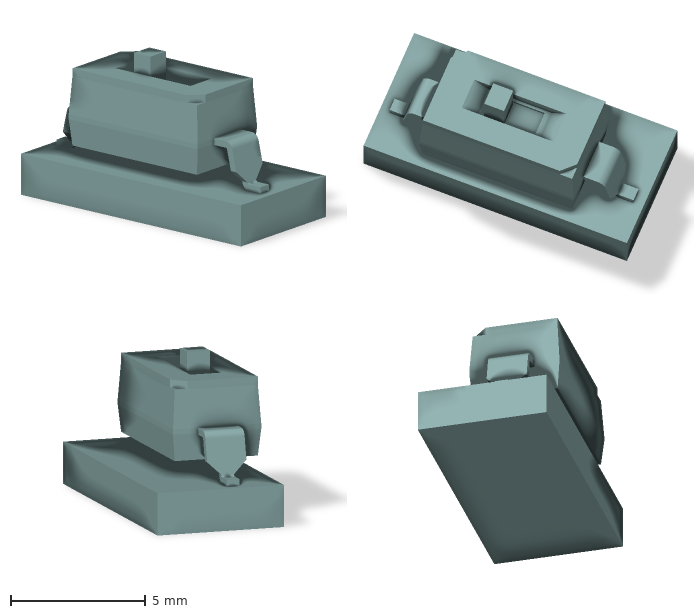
import cadquery as cq
import math


board_length = 10.58
board_width = 4.98
board_thickness = 1.6
board_offset_y = 0.63

seam_length = 6.2
seam_width = 3.48
cap_length = 6.0
cap_width = 3.28
cap_corner_chamfer = 0.5
standoff = 0.7
lower_half_height = 1.03
seam_height = 0.2
upper_half_height = 1.47
cap_height = 0.3
housing_bottom = board_thickness + standoff
seam_bottom = housing_bottom + lower_half_height
seam_top = seam_bottom + seam_height
cap_bottom = seam_top + upper_half_height
cap_top = cap_bottom + cap_height

slot_top_length = 3.7
slot_floor_length = 2.5
slot_width = 1.24
slot_depth = 0.4
window_length = 2.04
window_width = 1.03
window_depth = 0.1
slot_floor = cap_top - slot_depth
window_floor = slot_floor - window_depth

slider_length = 0.8
slider_width = 0.9
slider_top = 6.0

lead_thickness = 0.25
lead_width = 1.55
foot_width = 0.5
foot_tip_x = 4.9
shoulder_x = 3.655
leg_tilt = math.radians(13)
inner_bend_radius = 0.08
outer_bend_radius = inner_bend_radius + lead_thickness
taper_height = 0.495
neck_height = 0.325
taper_bottom = board_thickness + neck_height
taper_top = taper_bottom + taper_height
lead_top = seam_top


def box(length, width, bottom, top):
    """Upright box centred on the Z axis."""
    return cq.Workplane("XY", origin=(0, 0, bottom)).rect(length, width).extrude(top - bottom)


def tapered_block(bottom, bottom_size, top, top_size):
    """Block whose rectangle changes evenly from bottom to top."""
    return (
        cq.Workplane("XY", origin=(0, 0, bottom))
        .rect(*bottom_size)
        .workplane(offset=top - bottom)
        .rect(*top_size)
        .loft(ruled=True)
    )


def make_board():
    return box(board_length, board_width, 0, board_thickness).translate((0, board_offset_y, 0))


def make_housing_shell():
    seam_size = (seam_length, seam_width)
    cap_size = (cap_length, cap_width)
    lower_half = tapered_block(housing_bottom, cap_size, seam_bottom, seam_size)
    seam_band = box(*seam_size, seam_bottom, seam_top)
    upper_half = tapered_block(seam_top, seam_size, cap_bottom, cap_size)

    cap = box(*cap_size, cap_bottom, cap_top)
    cap = cap.edges("|Z").edges("(<X and >Y) or (>X and <Y)").chamfer(cap_corner_chamfer)
    return lower_half.union(seam_band).union(upper_half).union(cap)


def make_slot():
    slot = tapered_block(
        slot_floor, (slot_floor_length, slot_width), cap_top, (slot_top_length, slot_width)
    )
    window = box(window_length, window_width, window_floor, slot_floor)
    return slot.union(window)


def make_slider():
    center_x = (slider_length - window_length) / 2
    return box(slider_length, slider_width, window_floor, slider_top).translate((center_x, 0, 0))


def on_bend(center, radius, angle):
    """Point on a bend, in the XZ plane."""
    return (center[0] + radius * math.cos(angle), center[1] + radius * math.sin(angle))


def make_lead():
    """Lead on the +X side, from its root inside the housing wall down to the board."""
    shoulder_center = (shoulder_x, lead_top - outer_bend_radius)
    ankle_z = board_thickness + outer_bend_radius
    drop = shoulder_center[1] - ankle_z
    bend_sum = outer_bend_radius + inner_bend_radius
    ankle_x = shoulder_x + drop * math.tan(leg_tilt) + bend_sum / math.cos(leg_tilt)
    ankle_center = (ankle_x, ankle_z)

    shoulder_end = leg_tilt
    shoulder_middle = (math.pi / 2 + shoulder_end) / 2
    ankle_start = math.pi + leg_tilt
    ankle_middle = (ankle_start + 1.5 * math.pi) / 2
    root_x = cap_length / 2
    lead_bottom = lead_top - lead_thickness
    foot_top = board_thickness + lead_thickness

    profile = (
        cq.Workplane("XZ")
        .moveTo(root_x, lead_top)
        .lineTo(shoulder_x, lead_top)
        .threePointArc(
            on_bend(shoulder_center, outer_bend_radius, shoulder_middle),
            on_bend(shoulder_center, outer_bend_radius, shoulder_end),
        )
        .lineTo(*on_bend(ankle_center, inner_bend_radius, ankle_start))
        .threePointArc(
            on_bend(ankle_center, inner_bend_radius, ankle_middle),
            (ankle_x, foot_top),
        )
        .lineTo(foot_tip_x, foot_top)
        .lineTo(foot_tip_x, board_thickness)
        .lineTo(ankle_x, board_thickness)
        .threePointArc(
            on_bend(ankle_center, outer_bend_radius, ankle_middle),
            on_bend(ankle_center, outer_bend_radius, ankle_start),
        )
        .lineTo(*on_bend(shoulder_center, inner_bend_radius, shoulder_end))
        .threePointArc(
            on_bend(shoulder_center, inner_bend_radius, shoulder_middle),
            (shoulder_x, lead_bottom),
        )
        .lineTo(root_x, lead_bottom)
        .close()
    )
    strip = profile.extrude(lead_width / 2, both=True)

    outline = (
        cq.Workplane("YZ")
        .moveTo(-lead_width / 2, lead_top)
        .lineTo(lead_width / 2, lead_top)
        .lineTo(lead_width / 2, taper_top)
        .lineTo(foot_width / 2, taper_bottom)
        .lineTo(foot_width / 2, board_thickness)
        .lineTo(-foot_width / 2, board_thickness)
        .lineTo(-foot_width / 2, taper_bottom)
        .lineTo(-lead_width / 2, taper_top)
        .close()
        .extrude(foot_tip_x)
    )
    return strip.intersect(outline)


board = make_board()
slider = make_slider()

housing = make_housing_shell().cut(make_slot())
right_lead = make_lead()
for lead in (right_lead, right_lead.mirror("YZ")):
    housing = housing.union(lead)

result = cq.Compound.makeCompound([board.val(), housing.val(), slider.val()])